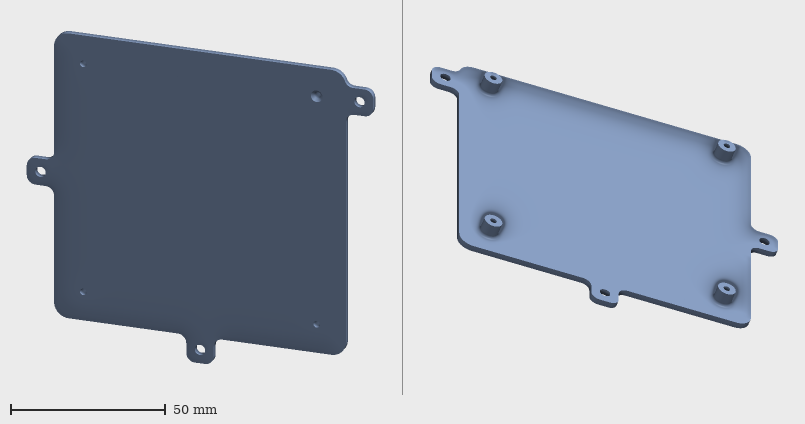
import cadquery as cq
import math

plate_side = 100.0
plate_thickness = 2.0
corner_radius = 5.0
tab_size = 9.4
tab_radius = 3.0
tab_hole_diameter = 3.6
post_inset = 10.0
post_diameter = 6.0
post_height = 5.0
post_fillet = 1.0
post_hole_diameter = 2.3
countersink_diameter = 4.0
countersink_angle = 90

half_side = plate_side / 2
post_offset = half_side - post_inset
tab_offset = half_side + tab_size / 2
total_depth = plate_thickness + post_height
post_places = [(x, z) for x in (-post_offset, post_offset) for z in (-post_offset, post_offset)]
countersink_place = (post_offset, post_offset)
left_tab = (-tab_offset, 0)
bottom_tab = (0, -tab_offset)
right_tab = (tab_offset, post_offset)


def prism_y(size, place, depth):
    """Rectangular block standing on the front face and reaching back along +Y."""
    return cq.Workplane("XZ").center(*place).rect(*size).extrude(-depth)


def cylinder_y(diameter, place, depth):
    """Cylinder along +Y that begins at the front face."""
    return cq.Workplane("XZ").center(*place).circle(diameter / 2).extrude(-depth)


def blend(root, along, outward):
    """Concave corner fill at a tab root, between the plate edge and the tab side."""
    x, z = root
    ax, az = along
    ox, oz = outward
    r = tab_radius
    bulge = r * (1 - math.sqrt(0.5))
    return (
        cq.Workplane("XZ")
        .moveTo(x, z)
        .lineTo(x + r * ax, z + r * az)
        .threePointArc((x + bulge * (ax + ox), z + bulge * (az + oz)), (x + r * ox, z + r * oz))
        .close()
        .extrude(-plate_thickness)
    )


def tab(place, outward):
    """Tab with rounded outer corners; it overlaps the plate so that its root is square."""
    ox, oz = outward
    root_overlap = tab_radius * 2
    x, z = place
    size = (tab_size + root_overlap * abs(ox), tab_size + root_overlap * abs(oz))
    centre = (x - ox * root_overlap / 2, z - oz * root_overlap / 2)
    return prism_y(size, centre, plate_thickness).edges("|Y").fillet(tab_radius)


def corner_blend():
    """Fill above the right tab, tangent to the rounded plate corner and the tab side."""
    arc_x = half_side - corner_radius
    arc_z = half_side - corner_radius
    tab_top = post_offset + tab_size / 2
    blend_z = tab_top + tab_radius
    reach = corner_radius + tab_radius
    blend_x = arc_x + math.sqrt(reach**2 - (blend_z - arc_z) ** 2)
    share = corner_radius / reach
    touch = (arc_x + share * (blend_x - arc_x), arc_z + share * (blend_z - arc_z))
    straight_down = 1.5 * math.pi
    mid_angle = (math.atan2(touch[1] - blend_z, touch[0] - blend_x) % (2 * math.pi) + straight_down) / 2
    middle = (blend_x + tab_radius * math.cos(mid_angle), blend_z + tab_radius * math.sin(mid_angle))
    return (
        cq.Workplane("XZ")
        .moveTo(arc_x, tab_top)
        .lineTo(blend_x, tab_top)
        .threePointArc(middle, touch)
        .lineTo(arc_x, arc_z)
        .close()
        .extrude(-plate_thickness)
    )


def post(place):
    """Round post on the back face with a concave fillet around its foot."""
    radius = post_diameter / 2
    foot = radius + post_fillet
    bulge = post_fillet * (1 - math.sqrt(0.5))
    profile = (
        cq.Workplane("XY")
        .moveTo(0, 0)
        .lineTo(foot, 0)
        .threePointArc((radius + bulge, bulge), (radius, post_fillet))
        .lineTo(radius, post_height)
        .lineTo(0, post_height)
        .close()
    )
    x, z = place
    return profile.revolve(360, (0, 0, 0), (0, 1, 0)).translate((x, plate_thickness, z))


def countersink(place):
    """Cone that narrows from the front face down to the post hole."""
    mouth = countersink_diameter / 2
    neck = post_hole_diameter / 2
    depth = (mouth - neck) / math.tan(math.radians(countersink_angle / 2))
    profile = cq.Workplane("XY").polyline([(0, 0), (mouth, 0), (neck, depth), (0, depth)]).close()
    x, z = place
    return profile.revolve(360, (0, 0, 0), (0, 1, 0)).translate((x, 0, z))


result = prism_y((plate_side, plate_side), (0, 0), plate_thickness).edges("|Y").fillet(corner_radius)
result = result.union(tab(left_tab, (-1, 0)))
result = result.union(tab(bottom_tab, (0, -1)))
result = result.union(tab(right_tab, (1, 0)))

for side in (-1, 1):
    result = result.union(blend((-half_side, side * tab_size / 2), (0, side), (-1, 0)))
    result = result.union(blend((side * tab_size / 2, -half_side), (side, 0), (0, -1)))
result = result.union(blend((half_side, post_offset - tab_size / 2), (0, -1), (1, 0)))
result = result.union(corner_blend())

for place in post_places:
    result = result.union(post(place))
for place in post_places:
    result = result.cut(cylinder_y(post_hole_diameter, place, total_depth))
for place in (left_tab, bottom_tab, right_tab):
    result = result.cut(cylinder_y(tab_hole_diameter, place, plate_thickness))
result = result.cut(countersink(countersink_place))